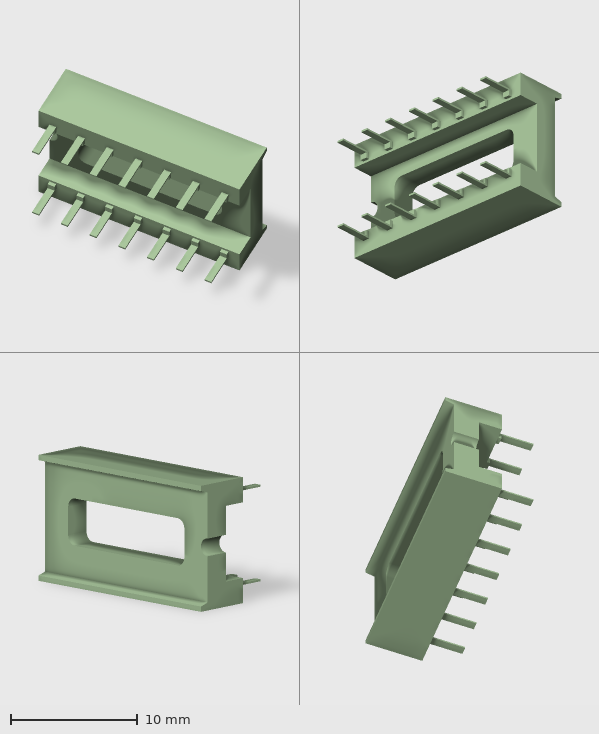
import cadquery as cq

length = 17.78
width = 10.15
pins_per_row = 7
pitch = length / pins_per_row

body_height = 4.78
leg_width = 2.03
leg_height = 1.94
recess_depth = 0.75
lip_tip_width = 0.43
lip_base_width = 0.64

window_length = 5 * pitch
window_width = 1.5 * pitch
window_corner_radius = 0.75
notch_radius = 0.71

row_spacing = 3 * pitch
pin_width = 0.6
pin_length = 3.02
blade_thickness = 0.16
foot_depth = 0.64
foot_height = 0.32


def make_body():
    """Extrude the U-shaped section, lipped along both long edges, along X."""
    half_width = width / 2
    web_top = body_height - recess_depth
    half_section = [
        (leg_height, half_width - leg_width),
        (0, half_width - leg_width),
        (0, half_width),
        (body_height, half_width),
        (body_height, half_width - lip_tip_width),
        (web_top, half_width - lip_base_width),
    ]
    mirrored_half = [(y, -z) for y, z in reversed(half_section)]
    section = cq.Workplane("YZ").polyline(half_section + mirrored_half).close()
    return section.extrude(length / 2, both=True)


def make_window():
    """Rounded opening passing through the web."""
    block = cq.Workplane("XY").box(window_length, 2 * body_height, window_width)
    return block.edges("|Y").fillet(window_corner_radius)


def make_notch():
    """Half-round orientation mark in the -X end of the web."""
    centre = cq.Workplane("XZ").center(-length / 2, 0)
    return centre.circle(notch_radius).extrude(body_height, both=True)


def make_pin(x, side):
    """L-shaped pin: a thin blade with a foot turned toward the middle of the part."""
    outer_z = (row_spacing + blade_thickness) / 2
    blade_inner_z = outer_z - blade_thickness
    foot_inner_z = outer_z - foot_depth
    profile = [
        (0, side * outer_z),
        (-pin_length, side * outer_z),
        (-pin_length, side * blade_inner_z),
        (-foot_height, side * blade_inner_z),
        (-foot_height, side * foot_inner_z),
        (0, side * foot_inner_z),
    ]
    section = cq.Workplane("YZ", origin=(x, 0, 0)).polyline(profile).close()
    return section.extrude(pin_width / 2, both=True)


result = make_body().cut(make_window()).cut(make_notch())

for side in (-1, 1):
    for index in range(pins_per_row):
        pin_x = (index - (pins_per_row - 1) / 2) * pitch
        result = result.union(make_pin(pin_x, side))